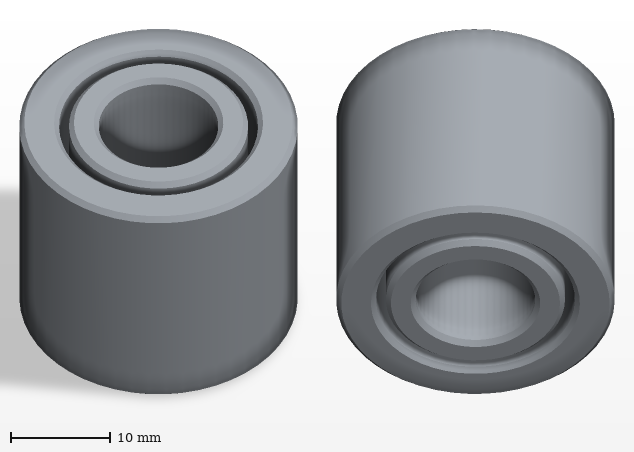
import cadquery as cq

length = 25.0
outer_ring_outside_diameter = 28.0
outer_ring_bore_diameter = 20.0
inner_ring_outside_diameter = 18.0
inner_ring_bore_diameter = 12.0
edge_chamfer = 0.5


def chamfered_ring(outside_diameter, bore_diameter):
    """Plain ring centred on the origin, with all four circular edges chamfered."""
    return (
        cq.Workplane("XY", origin=(0, 0, -length / 2))
        .circle(outside_diameter / 2)
        .circle(bore_diameter / 2)
        .extrude(length)
        .faces("|Z")
        .edges()
        .chamfer(edge_chamfer)
    )


outer_ring = chamfered_ring(outer_ring_outside_diameter, outer_ring_bore_diameter)
inner_ring = chamfered_ring(inner_ring_outside_diameter, inner_ring_bore_diameter)

result = cq.Compound.makeCompound([outer_ring.val(), inner_ring.val()])